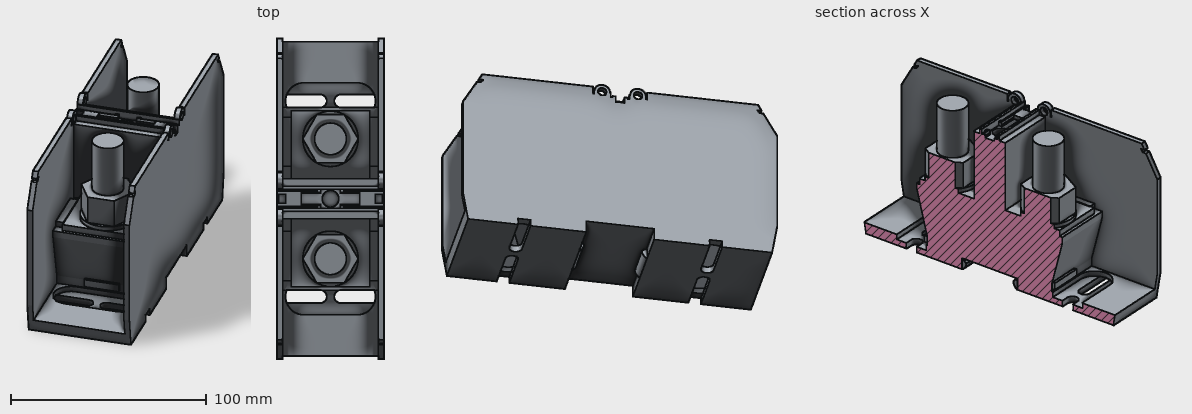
import cadquery as cq

length = 164.0
width = 54.8
wall_top = 89.2
wall_thickness = 3.0
floor_top = 6.5
inner_width = width - 2 * wall_thickness

foot_half_length = 79.4
foot_bevel_top = 15.9
shoulder_height = 71.5
top_half_length = 72.0
latch_bottom = 84.3
latch_top = 86.0
latch_root = 71.5
latch_floor_end = 72.8

rail_half_width = 17.7
rail_depth = 6.5
clip_width = 18.4
hook_reach = 2.6
hook_top = 5.5
hook_tip = 4.3
hook_nose = 1.1
hook_bulge = 0.5
tab_bottom = 8.0
tab_top = 12.1
tab_front = 41.8

lug_y = 9.3
lug_z = 86.8
lug_radius = 4.1
lug_hole_diameter = 4.5
relief_width = 0.7
relief_bottom = 85.1

cross_half_width = 10.2
ledge_top = 83.8
rim_outer = 6.4
rim_inner = 5.0
rim_top = lug_z
groove_floor = 84.1
groove_end = 6.9
center_strip_half_width = 3.8
groove_slope = 0.3
center_strip_top = 84.8
label_half_length = 15.1
label_top_half_width = 3.5
label_floor_half_width = 2.8
label_floor = 82.5
label_bevel_bottom = 83.6
screw_recess = 9.8
screw_hole_diameter = 8.5
screw_hole_depth = 5.0
end_notch_length = 4.5
end_notch_width = 4.6
end_notch_floor = 81.3
end_notch_lip = 0.8
end_pit_depth = 0.7

block_front = 46.7
block_foot = 40.0
block_foot_top = 11.2
block_lip_bottom = 37.2
block_top = 40.8
plate_width = 40.2
plate_front = 45.0
plate_top = 44.3
rest_top = 43.8
rest_back = 16.5
rest_front = 41.8

stud_y = 30.7
stud_diameter = 16.2
stud_top = wall_top
washer_diameter = 28.4
washer_top = 46.5
nut_across_corners = washer_diameter
nut_top = 61.5

pocket_y = 50.0
pocket_length = 46.0
pocket_width = 18.7
slot_width = 6.5
slot_height = 3.6
slot_inner_end = 2.0


def box(x0, x1, y0, y1, z0, z1):
    """Axis-aligned box between two opposite corners."""
    return cq.Workplane("XY").box(x1 - x0, y1 - y0, z1 - z0, centered=False).translate((x0, y0, z0))


def centered_box(size_x, y0, y1, z0, z1):
    """Box centred on X = 0."""
    return box(-size_x / 2, size_x / 2, y0, y1, z0, z1)


def extrude_x(sketch, size_x):
    """Extrude a YZ outline symmetrically about X = 0."""
    return sketch.extrude(size_x / 2, both=True)


def both_ends(solid):
    """The solid together with its mirror image across Y = 0."""
    return solid.union(solid.mirror("XZ"))


def both_sides(solid):
    """The solid together with its mirror image across X = 0."""
    return solid.union(solid.mirror("YZ"))


def bevel_y(z):
    """Y of the upper corner bevel at height z."""
    rise = (z - shoulder_height) / (wall_top - shoulder_height)
    return length / 2 + rise * (top_half_length - length / 2)


def housing_profile():
    """Side outline with bevelled corners and a latch notch in each upper bevel."""
    half = [
        (foot_half_length, 0),
        (length / 2, foot_bevel_top),
        (length / 2, shoulder_height),
        (bevel_y(latch_bottom), latch_bottom),
        (latch_floor_end, latch_bottom),
        (latch_root, latch_top),
        (bevel_y(latch_top), latch_top),
        (top_half_length, wall_top),
    ]
    mirrored = [(-y, z) for y, z in reversed(half)]
    return cq.Workplane("YZ").polyline(half + mirrored).close()


def shell():
    body = extrude_x(housing_profile(), width)
    return body.cut(centered_box(inner_width, -length / 2, length / 2, floor_top, wall_top))


def cross_wall():
    wall = centered_box(inner_width, -cross_half_width, cross_half_width, floor_top, ledge_top)
    return wall.union(centered_box(inner_width, -rim_outer, rim_outer, ledge_top, rim_top))


def hinge_lugs():
    """Round lugs on top of both side walls, joined to the rim of the cross wall."""
    lug = extrude_x(cq.Workplane("YZ").center(lug_y, lug_z).circle(lug_radius), width)
    lug = lug.union(centered_box(width, rim_inner, lug_y + lug_radius, relief_bottom, lug_z))
    return both_ends(lug.cut(centered_box(inner_width, 0, length / 2, 0, length)))


def hinge_holes():
    hole = cq.Workplane("YZ").center(lug_y, lug_z).circle(lug_hole_diameter / 2)
    return both_ends(extrude_x(hole, width))


def edge_groove():
    """Groove between the rim and the sloped edge of the centre strip."""
    outline = [
        (rim_inner, groove_floor),
        (rim_inner, center_strip_top),
        (center_strip_half_width, center_strip_top),
        (center_strip_half_width + groove_slope, groove_floor),
    ]
    groove = cq.Workplane("YZ", origin=(groove_end, 0, 0)).polyline(outline).close()
    return groove.extrude(width / 2 - groove_end)


def label_recess():
    """Long recess with bevelled upper edges in the centre strip."""
    outline = [
        (-label_floor_half_width, label_floor),
        (label_floor_half_width, label_floor),
        (label_floor_half_width, label_bevel_bottom),
        (label_top_half_width, center_strip_top),
        (-label_top_half_width, center_strip_top),
        (-label_floor_half_width, label_bevel_bottom),
    ]
    return extrude_x(cq.Workplane("YZ").polyline(outline).close(), 2 * label_half_length)


def center_cuts():
    """Grooves, label recess, screw seat and end notches in the top of the cross wall."""
    half = width / 2
    cuts = centered_box(width, -rim_inner, rim_inner, center_strip_top, wall_top)
    cuts = cuts.union(both_ends(both_sides(edge_groove())))
    cuts = cuts.union(label_recess())
    cuts = cuts.union(centered_box(screw_recess, -rim_inner, rim_inner, label_floor, wall_top))
    screw_hole = cq.Workplane("XY").circle(screw_hole_diameter / 2).extrude(screw_hole_depth)
    cuts = cuts.union(screw_hole.translate((0, 0, label_floor - screw_hole_depth)))
    notch_y = end_notch_width / 2
    notch = box(half - end_notch_length, half, -notch_y, notch_y, end_notch_floor, wall_top)
    pit_floor = end_notch_floor - end_pit_depth
    pit = box(half - end_notch_length, half - end_notch_lip, -notch_y, notch_y, pit_floor, end_notch_floor)
    return cuts.union(both_sides(notch.union(pit)))


def terminal():
    """Support block with plate, washer, nut and stud at the +Y end."""
    block = [
        (0, floor_top),
        (block_foot, floor_top),
        (block_foot, block_foot_top),
        (block_front, block_lip_bottom),
        (block_front, block_top),
        (0, block_top),
    ]
    part = extrude_x(cq.Workplane("YZ").polyline(block).close(), inner_width)
    part = part.union(centered_box(inner_width, rest_back, rest_front, block_top, rest_top))
    part = part.union(centered_box(plate_width, 0, plate_front, block_top, plate_top))
    seat = cq.Workplane("XY", origin=(0, stud_y, block_top))
    part = part.union(seat.circle(washer_diameter / 2).extrude(washer_top - block_top))
    part = part.union(seat.polygon(6, nut_across_corners).extrude(nut_top - block_top))
    return part.union(seat.circle(stud_diameter / 2).extrude(stud_top - block_top))


def rail_clip():
    """Tab above the floor and hook in the rail channel at the +Y end."""
    tab = centered_box(clip_width, 0, tab_front, tab_bottom, tab_top)
    tip_y = rail_half_width - hook_reach
    belly = (rail_half_width - hook_reach / 2 - hook_bulge, hook_tip / 2 - hook_bulge)
    hook = (
        cq.Workplane("YZ")
        .moveTo(rail_half_width, 0)
        .threePointArc(belly, (tip_y, hook_tip))
        .lineTo(tip_y + hook_nose, hook_top)
        .lineTo(rail_half_width, hook_top)
        .close()
    )
    return tab.union(extrude_x(hook, clip_width))


def floor_cuts():
    """Oval pocket in the floor and the two slots beneath it at the +Y end."""
    pocket = cq.Workplane("XY").center(0, pocket_y).slot2D(pocket_length, pocket_width)
    pocket = pocket.extrude(floor_top - slot_height).translate((0, 0, slot_height))
    radius = slot_width / 2
    slot_start = slot_inner_end + radius
    slot = box(slot_start, width / 2, pocket_y - radius, pocket_y + radius, 0, slot_height)
    slot = slot.union(cq.Workplane("XY").center(slot_start, pocket_y).circle(radius).extrude(slot_height))
    return pocket.union(both_sides(slot))


lug_gap_half_width = lug_y + lug_radius + relief_width
lug_gap = centered_box(width, -lug_gap_half_width, lug_gap_half_width, relief_bottom, wall_top)
rail_channel = centered_box(width, -rail_half_width, rail_half_width, 0, rail_depth)

result = shell().cut(lug_gap)
result = result.union(hinge_lugs()).cut(hinge_holes())
result = result.union(cross_wall())
result = result.cut(both_ends(floor_cuts()))
result = result.union(both_ends(terminal()))
result = result.cut(center_cuts())
result = result.cut(rail_channel).union(both_ends(rail_clip()))